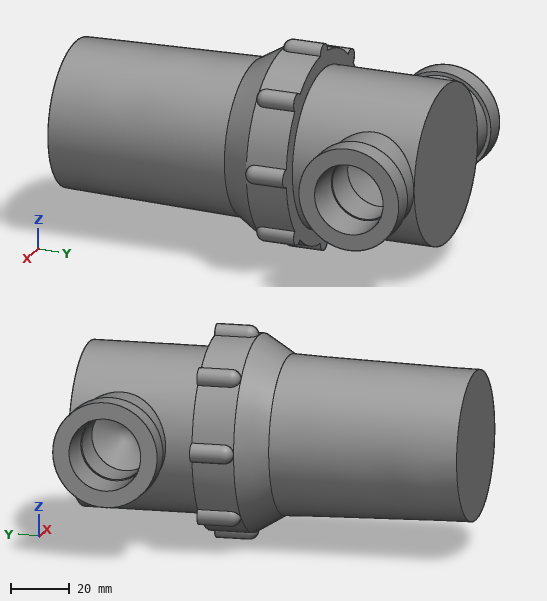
import cadquery as cq
import math


HEAD_RADIUS = 28.5
HEAD_BACK_Y = 17.1
PORT_RADIUS = 17.0
FLANGE_RADIUS = 18.4
FLANGE_WIDTH = 8.0
PORT_SPAN = 90.8

BORE_MOUTH_RADIUS = 12.6
BORE_END_RADIUS = 12.0
BORE_DEPTH = 13.7
DRILL_RADIUS = 11.7
DRILL_DEPTH = 27.4
POINT_HALF_ANGLE = math.radians(60)

TOTAL_LENGTH = 137.1
COLLAR_BACK_Y = -27.7
COLLAR_RADIUS = 34.1
COLLAR_LENGTH = 14.7
SHOULDER_LENGTH = 10.7
BOWL_TOP_RADIUS = 27.7
BOWL_END_RADIUS = 26.0
BOWL_END_Y = FLANGE_RADIUS - TOTAL_LENGTH

RIB_COUNT = 8
RIB_SPAN = 74.7
RIB_RADIUS = 3.3
RIB_CENTRE_RADIUS = RIB_SPAN / 2 - RIB_RADIUS


def make_ports():
    """Straight pipe along X with a wider flange at each end."""
    half_span = PORT_SPAN / 2
    flange_inner_x = half_span - FLANGE_WIDTH
    profile = [
        (-half_span, 0),
        (-half_span, FLANGE_RADIUS),
        (-flange_inner_x, FLANGE_RADIUS),
        (-flange_inner_x, PORT_RADIUS),
        (flange_inner_x, PORT_RADIUS),
        (flange_inner_x, FLANGE_RADIUS),
        (half_span, FLANGE_RADIUS),
        (half_span, 0),
    ]
    return cq.Workplane("XY").polyline(profile).close().revolve(360, (0, 0), (1, 0))


def port_bore(side):
    """Bore cutter for the port on the -X (side = -1) or +X (side = 1) end."""
    mouth_x = side * PORT_SPAN / 2
    end_x = mouth_x - side * BORE_DEPTH
    drill_end_x = mouth_x - side * DRILL_DEPTH
    point_x = drill_end_x - side * DRILL_RADIUS / math.tan(POINT_HALF_ANGLE)
    profile = [
        (mouth_x, 0),
        (mouth_x, BORE_MOUTH_RADIUS),
        (end_x, BORE_END_RADIUS),
        (end_x, DRILL_RADIUS),
        (drill_end_x, DRILL_RADIUS),
        (point_x, 0),
    ]
    return cq.Workplane("XY").polyline(profile).close().revolve(360, (0, 0), (1, 0))


def make_head():
    """Cylindrical head crossed by two flanged ports, ending against the collar."""
    head = (
        cq.Workplane("XZ", origin=(0, HEAD_BACK_Y, 0))
        .circle(HEAD_RADIUS)
        .extrude(HEAD_BACK_Y - COLLAR_BACK_Y)
    )
    head = head.union(make_ports())
    for side in (-1, 1):
        head = head.cut(port_bore(side))
    return head


def make_rib(angle):
    """Straight rib with a hemispherical nose level with the collar front."""
    front_y = COLLAR_BACK_Y - COLLAR_LENGTH
    nose_start_y = front_y + RIB_RADIUS
    nose_middle = RIB_RADIUS * math.sqrt(0.5)
    rib = (
        cq.Workplane("XY")
        .moveTo(0, COLLAR_BACK_Y)
        .lineTo(RIB_RADIUS, COLLAR_BACK_Y)
        .lineTo(RIB_RADIUS, nose_start_y)
        .threePointArc((nose_middle, nose_start_y - nose_middle), (0, front_y))
        .close()
        .revolve(360, (0, 0), (0, 1))
    )
    return rib.translate((RIB_CENTRE_RADIUS * math.cos(angle), 0, RIB_CENTRE_RADIUS * math.sin(angle)))


def make_bowl():
    """Collar, conical shoulder and tapered bowl turned about Y, with ribs on the collar."""
    collar_front_y = COLLAR_BACK_Y - COLLAR_LENGTH
    profile = [
        (0, COLLAR_BACK_Y),
        (COLLAR_RADIUS, COLLAR_BACK_Y),
        (COLLAR_RADIUS, collar_front_y),
        (BOWL_TOP_RADIUS, collar_front_y - SHOULDER_LENGTH),
        (BOWL_END_RADIUS, BOWL_END_Y),
        (0, BOWL_END_Y),
    ]
    bowl = cq.Workplane("XY").polyline(profile).close().revolve(360, (0, 0), (0, 1))
    for index in range(RIB_COUNT):
        bowl = bowl.union(make_rib(index * 2 * math.pi / RIB_COUNT))
    return bowl


head = make_head()
bowl = make_bowl()
result = cq.Compound.makeCompound([head.val(), bowl.val()])